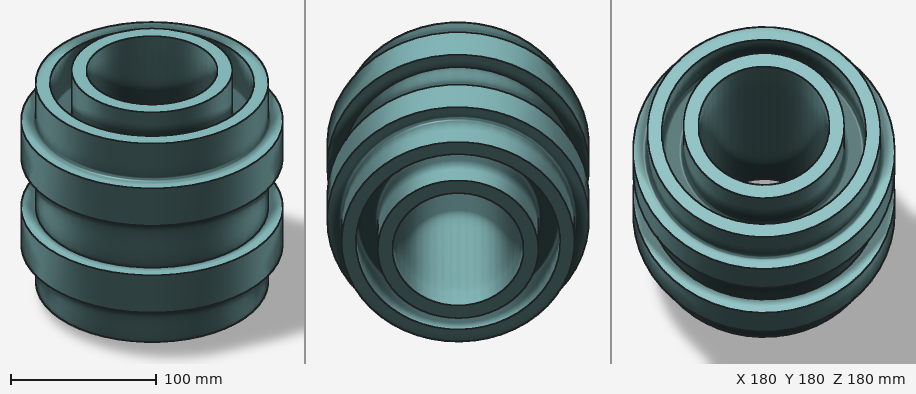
import cadquery as cq

height = 180.0
flange_diameter = 180.0
body_diameter = 160.0
body_height = 160.0
cavity_diameter = 140.4
hub_diameter = 110.3
bore_diameter = 90.0
flange_thickness = 30.0
flange_gap = 40.0
fillet_radius = 3.0
cavity_depth = 30.0

flange_center_height = (flange_gap + flange_thickness) / 2
flange_outer_face = flange_gap / 2 + flange_thickness
cavity_floor = body_height / 2 - cavity_depth


def centered_cylinder(diameter, length, center_height=0.0):
    """Cylinder on the Z axis, centred at the given height."""
    return (
        cq.Workplane("XY")
        .workplane(offset=center_height - length / 2)
        .circle(diameter / 2)
        .extrude(length)
    )


def root_fillet():
    """Ring with a concave quarter-round section at the upper flange root."""
    inner = body_diameter / 2 - fillet_radius
    body = body_diameter / 2
    rim = body + fillet_radius
    top = flange_outer_face + fillet_radius
    return (
        cq.Workplane("XZ")
        .moveTo(inner, flange_outer_face)
        .lineTo(rim, flange_outer_face)
        .radiusArc((body, top), fillet_radius)
        .lineTo(inner, top)
        .close()
        .revolve(360, (0, 0, 0), (0, 1, 0))
    )


def upper_cavity():
    """Annular cavity between hub and body wall, rounded at its floor."""
    cavity = (
        cq.Workplane("XY")
        .workplane(offset=cavity_floor)
        .circle(cavity_diameter / 2)
        .circle(hub_diameter / 2)
        .extrude(cavity_depth)
    )
    return cavity.faces("<Z").edges().fillet(fillet_radius)


result = centered_cylinder(body_diameter, body_height)
for side in (-1, 1):
    result = result.union(
        centered_cylinder(flange_diameter, flange_thickness, side * flange_center_height)
    )

result = result.union(root_fillet()).union(root_fillet().mirror("XY"))

result = result.union(centered_cylinder(hub_diameter, height))

result = result.cut(upper_cavity()).cut(upper_cavity().mirror("XY"))
result = result.cut(centered_cylinder(bore_diameter, height))